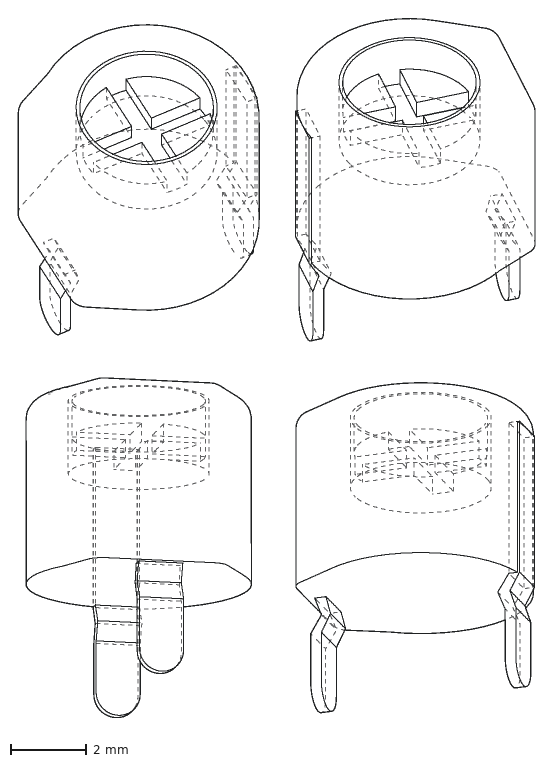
import cadquery as cq
import math

can_radius = 3.0
can_height = 5.0
edge_radius = 0.5
left_side_end_y = -1.74
right_side_end_y = -1.62
front_left_x = -1.82
front_right_x = 1.68

rotor_diameter = 3.75
cup_diameter = 3.55
cup_depth = 1.0
slot_depth = 0.5
slot_width = 0.59
rotor_floor = 0.5
rotor_height = cup_depth + slot_depth + rotor_floor

terminal_width = 1.2
strip_thickness = 0.3
leg_length = 3.0
knee_depth = 0.5
leg_top_depth = 1.0
leg_outer_y = 2.9
leg_inner_y = leg_outer_y - strip_thickness
back_plate_height = 4.3
back_knee_outer_y = 2.73
back_knee_inner_y = 2.38
front_root_outer_y = 2.78
front_root_inner_y = 2.46
front_knee_outer_y = 2.59
front_knee_inner_y = 2.34


def can_x(y):
    """X distance from the can axis to the round wall at a given Y."""
    return math.sqrt(can_radius**2 - y**2)


def back_plate():
    """Upright part of the back terminal, let into the housing wall."""
    return (
        cq.Workplane("XY")
        .box(terminal_width, strip_thickness, back_plate_height, centered=(True, False, False))
        .translate((0, can_radius - strip_thickness, 0))
    )


def rotor_seat():
    """Solid cylinder that fills the rotor's place in the housing."""
    return (
        cq.Workplane("XY")
        .workplane(offset=can_height - rotor_height)
        .circle(rotor_diameter / 2)
        .extrude(rotor_height)
    )


def make_housing():
    can = (
        cq.Workplane("XY")
        .moveTo(front_left_x, -can_radius)
        .lineTo(front_right_x, -can_radius)
        .lineTo(can_x(right_side_end_y), right_side_end_y)
        .threePointArc((0, can_radius), (-can_x(left_side_end_y), left_side_end_y))
        .close()
        .extrude(can_height)
    )
    can = can.edges("|Z").edges("<Y").fillet(edge_radius)
    can = can.faces(">Z").edges().fillet(edge_radius)
    return can.cut(rotor_seat()).cut(back_plate())


def make_rotor():
    cup = rotor_seat().cut(
        cq.Workplane("XY")
        .workplane(offset=can_height - cup_depth)
        .circle(cup_diameter / 2)
        .extrude(cup_depth)
    )
    slot_floor = cq.Workplane("XY").workplane(offset=can_height - cup_depth - slot_depth)
    cross = (
        slot_floor.rect(cup_diameter, slot_width)
        .extrude(slot_depth)
        .union(slot_floor.rect(slot_width, cup_diameter).extrude(slot_depth))
        .intersect(slot_floor.circle(cup_diameter / 2).extrude(slot_depth))
    )
    return cup.cut(cross)


def make_leg(root_outer_y, root_inner_y, knee_outer_y, knee_inner_y):
    """Bent leg on the +Y side, from the housing underside to its round tip."""
    strip = (
        cq.Workplane("YZ")
        .polyline(
            [
                (root_outer_y, 0),
                (knee_outer_y, -knee_depth),
                (leg_outer_y, -leg_top_depth),
                (leg_outer_y, -leg_length),
                (leg_inner_y, -leg_length),
                (leg_inner_y, -leg_top_depth),
                (knee_inner_y, -knee_depth),
                (root_inner_y, 0),
            ]
        )
        .close()
        .extrude(terminal_width / 2, both=True)
    )
    tip_radius = terminal_width / 2
    tongue = (
        cq.Workplane("XZ")
        .moveTo(-tip_radius, 0)
        .lineTo(-tip_radius, tip_radius - leg_length)
        .threePointArc((0, -leg_length), (tip_radius, tip_radius - leg_length))
        .lineTo(tip_radius, 0)
        .close()
        .extrude(-can_radius)
    )
    return strip.intersect(tongue)


def make_back_terminal():
    leg = make_leg(can_radius, can_radius - strip_thickness, back_knee_outer_y, back_knee_inner_y)
    return leg.union(back_plate())


def make_front_terminal():
    leg = make_leg(front_root_outer_y, front_root_inner_y, front_knee_outer_y, front_knee_inner_y)
    return leg.mirror("XZ")


housing = make_housing()
rotor = make_rotor()
back_terminal = make_back_terminal()
front_terminal = make_front_terminal()

result = cq.Compound.makeCompound(
    [housing.val(), rotor.val(), back_terminal.val(), front_terminal.val()]
)